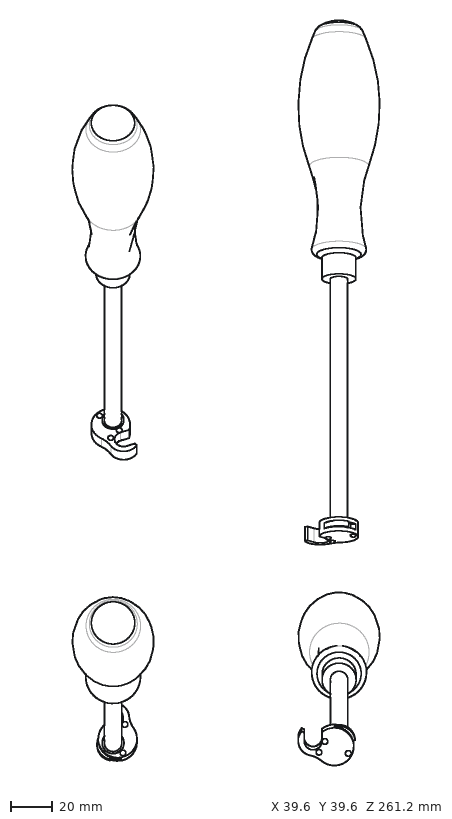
import cadquery as cq
import math

total_length = 261.18
handle_top = total_length / 2
tip_bottom = -total_length / 2

collar_radius = 8.25
collar_bottom = 0.2
collar_top = 10.9
base_radius = 13.3
base_top = 15.3
base_fillet = 2.6
waist_radius = 10.5
waist_height = 33.0
grip_start_radius = 14.4
grip_start = 57.5
grip_radius = 19.78
grip_height = 87.5
cap_radius = 13.2
cap_start = 121.6
shoulder_radius = 11.6
shoulder_height = 125.6
crown_radius = 10.5
crown_start = 127.1

shaft_radius = 4.2
seat_radius = 5.3
seat_depth = 0.5
stud_height = 1.0
plate_thickness = 7.1
plate_bottom = tip_bottom + stud_height
plate_top = plate_bottom + plate_thickness
hub_radius = 9.4
hub_center = (1.1, -2.8)
jaw_radius = 4.25
jaw_center = (11.5, -5.2)
jaw_mouth_angle = 63
horn_tip_y = -3.4
horn_radius = 7.4
horn_center = (11.4, -5.0)
neck_radius = 12.0
stud_radius = 1.4
stud_places = [(-6.4, -2.6), (6.4, -2.6), (6.4, -8.7)]

rim_band_height = 2.8
pad_radius = 7.8
pad_start_angle = 45
pad_end_angle = 147
slot_floor_radius = 5.9
slot_end_angle = 188


def spherical_rise(rise, chord_radius):
    """Radius of the sphere that rises by `rise` over a circle of `chord_radius`."""
    return (chord_radius**2 + rise**2) / (2 * rise)


def make_handle():
    crown_rise = handle_top - crown_start
    crown_sphere = spherical_rise(crown_rise, crown_radius)
    mid_radius = crown_radius / 2
    mid_height = handle_top - crown_sphere + math.sqrt(crown_sphere**2 - mid_radius**2)
    profile = (
        cq.Workplane("XZ")
        .moveTo(0, collar_bottom)
        .lineTo(collar_radius, collar_bottom)
        .lineTo(collar_radius, collar_top)
        .lineTo(base_radius - base_fillet, base_top - base_fillet)
        .radiusArc((base_radius, base_top), -base_fillet)
        .threePointArc((waist_radius, waist_height), (grip_start_radius, grip_start))
        .threePointArc((grip_radius, grip_height), (cap_radius, cap_start))
        .lineTo(shoulder_radius, shoulder_height)
        .lineTo(crown_radius, crown_start)
        .threePointArc((mid_radius, mid_height), (0, handle_top))
        .close()
    )
    return profile.revolve(360, (0, 0, 0), (0, 1, 0))


def plate_disc(center, radius):
    return cq.Workplane("XY", origin=(*center, plate_bottom)).circle(radius).extrude(plate_thickness)


def neck_center():
    """Centre of the neck arc, which touches the hub and the horn from outside on the -Y side."""
    to_hub = hub_radius + neck_radius
    to_horn = horn_radius + neck_radius
    dx = horn_center[0] - hub_center[0]
    dy = horn_center[1] - hub_center[1]
    span = math.hypot(dx, dy)
    along = (span**2 + to_hub**2 - to_horn**2) / (2 * span)
    across = math.sqrt(to_hub**2 - along**2)
    return (
        hub_center[0] + (along * dx + across * dy) / span,
        hub_center[1] + (along * dy - across * dx) / span,
    )


def make_web():
    """Plate between hub and horn, closed on the -Y side by the hollow neck arc."""
    neck_x, neck_y = neck_center()
    web = (
        cq.Workplane("XY", origin=(0, 0, plate_bottom))
        .polyline([hub_center, (neck_x, neck_y), horn_center])
        .close()
        .extrude(plate_thickness)
    )
    return web.cut(plate_disc((neck_x, neck_y), neck_radius))


def rim_sector(inner_radius, outer_radius, start_angle, end_angle):
    """Ring sector about the shaft axis, centred in the plate thickness."""
    middle_angle = (start_angle + end_angle) / 2

    def at(radius, angle):
        return radius * math.cos(math.radians(angle)), radius * math.sin(math.radians(angle))

    return (
        cq.Workplane("XY", origin=(0, 0, plate_bottom + (plate_thickness - rim_band_height) / 2))
        .moveTo(*at(inner_radius, start_angle))
        .lineTo(*at(outer_radius, start_angle))
        .threePointArc(at(outer_radius, middle_angle), at(outer_radius, end_angle))
        .lineTo(*at(inner_radius, end_angle))
        .threePointArc(at(inner_radius, middle_angle), at(inner_radius, start_angle))
        .close()
        .extrude(rim_band_height)
    )


def make_horn():
    """Horn disc with everything beyond its flat tip removed."""
    beyond_tip = (
        cq.Workplane("XY", origin=(horn_center[0], horn_tip_y + horn_radius, plate_bottom))
        .rect(2 * horn_radius, 2 * horn_radius)
        .extrude(plate_thickness)
    )
    return plate_disc(horn_center, horn_radius).cut(beyond_tip)


def make_jaw_cutter():
    """U-shaped jaw: round at the bottom, straight sides running out through its mouth."""
    mouth = (
        cq.Workplane("XY", origin=(*jaw_center, plate_bottom))
        .transformed(rotate=(0, 0, jaw_mouth_angle))
        .center(hub_radius / 2, 0)
        .rect(hub_radius, 2 * jaw_radius)
        .extrude(plate_thickness)
    )
    return plate_disc(jaw_center, jaw_radius).union(mouth)


def make_hook():
    hook = plate_disc(hub_center, hub_radius).union(make_web()).union(make_horn())
    pad = rim_sector(slot_floor_radius, pad_radius, pad_start_angle, pad_end_angle)
    slot = rim_sector(slot_floor_radius, hub_radius, pad_end_angle, slot_end_angle)
    return hook.cut(make_jaw_cutter()).union(pad).cut(slot)


def make_blade():
    shaft_length = collar_bottom - plate_bottom
    shaft = cq.Workplane("XY", origin=(0, 0, plate_bottom)).circle(shaft_radius).extrude(shaft_length)
    seat = (
        cq.Workplane("XY", origin=(0, 0, plate_top - seat_depth))
        .circle(seat_radius)
        .extrude(seat_depth)
    )
    blade = make_hook().cut(seat).union(shaft)
    sphere_radius = spherical_rise(stud_height, stud_radius)
    sink = sphere_radius - stud_height
    for x, y in stud_places:
        for z in (plate_bottom + sink, plate_top - sink):
            blade = blade.union(cq.Workplane("XY", origin=(x, y, z)).sphere(sphere_radius))
    return blade


handle = make_handle()
blade = make_blade()
result = cq.Compound.makeCompound([handle.val(), blade.val()])